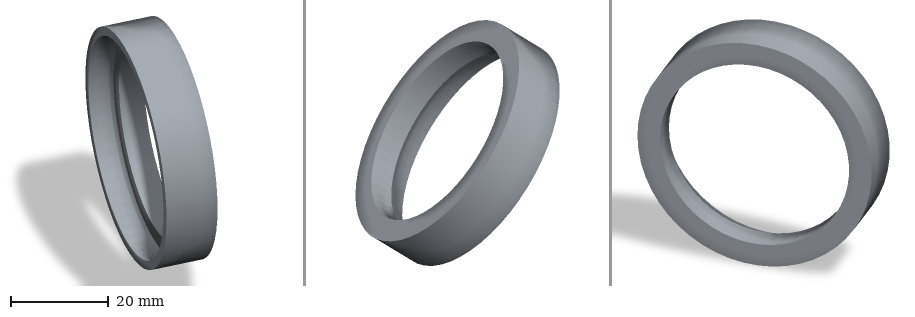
import cadquery as cq

outer_diameter = 50.8
width = 11.0
bore_diameter = 41.0
recess_diameter = 47.0
recess_depth = 5.6

groove_depth = 0.4
groove_width = 1.0

front_y = -width / 2


def axial_cylinder(diameter, length, start=0):
    """Cylinder along +Y, starting the given distance behind the front face."""
    start_plane = cq.Workplane("XZ", origin=(0, front_y + start, 0))
    return start_plane.circle(diameter / 2).extrude(-length)


body = axial_cylinder(outer_diameter, width)
bore = axial_cylinder(bore_diameter, width)
recess = axial_cylinder(recess_diameter, recess_depth)
groove = axial_cylinder(
    recess_diameter + 2 * groove_depth,
    groove_width,
    start=recess_depth - groove_width,
)

result = body.cut(bore).cut(recess).cut(groove)